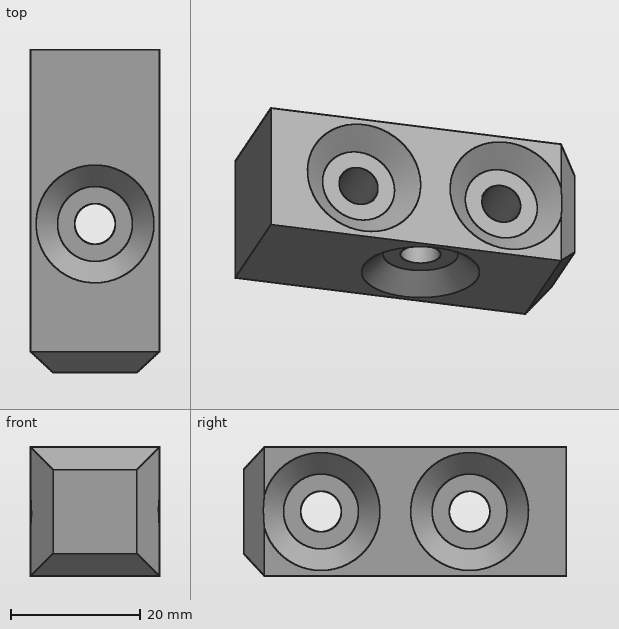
import cadquery as cq

length = 50.0
width = 20.0
half_width = width / 2

nose_length = 3.25
nose_inset = 3.5
nose_width = width - 2 * nose_inset

hole_diameter = 6.25
recess_mouth_diameter = 18.25
recess_floor_diameter = 11.6
recess_depth = 3.05

side_hole_positions = (12.0, 35.0)
vertical_hole_position = 23.0


def make_body():
    """Square bar tapering to a smaller square at the nose face."""
    bar = cq.Workplane("XZ").workplane(offset=-length).rect(width, width).extrude(length - nose_length)
    nose = (
        cq.Workplane("XZ", origin=(0, nose_length, 0))
        .rect(width, width)
        .workplane(offset=nose_length)
        .rect(nose_width, nose_width)
        .loft(ruled=True)
    )
    return bar.union(nose)


def make_hole_cutter(position, axis):
    """Hole and its two recesses as one revolved solid, centred on the bar axis."""
    hole_radius = hole_diameter / 2
    floor_radius = recess_floor_diameter / 2
    mouth_radius = recess_mouth_diameter / 2
    floor_height = half_width - recess_depth
    cutter = (
        cq.Workplane("XZ")
        .moveTo(0, -half_width)
        .lineTo(mouth_radius, -half_width)
        .lineTo(floor_radius, -floor_height)
        .lineTo(hole_radius, -floor_height)
        .lineTo(hole_radius, floor_height)
        .lineTo(floor_radius, floor_height)
        .lineTo(mouth_radius, half_width)
        .lineTo(0, half_width)
        .close()
        .revolve(360, (0, 0, 0), (0, 1, 0))
    )
    if axis == "X":
        cutter = cutter.rotate((0, 0, 0), (0, 1, 0), 90)
    return cutter.translate((0, position, 0))


result = make_body()
for side_hole_position in side_hole_positions:
    result = result.cut(make_hole_cutter(side_hole_position, "X"))
result = result.cut(make_hole_cutter(vertical_hole_position, "Z"))